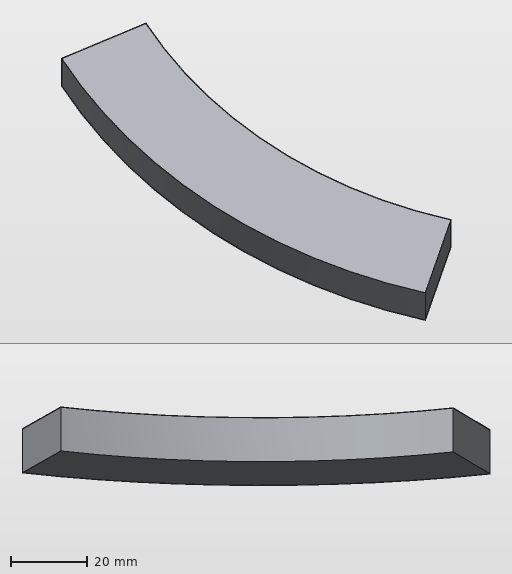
import cadquery as cq
import math

length_x = 109.6
thickness = 12.0
inner_radius = 130.0
start_angle = -83.8
end_angle = -37.1

inner_start_x = inner_radius * math.cos(math.radians(start_angle))
outer_radius = (inner_start_x + length_x) / math.cos(math.radians(end_angle))
middle_angle = (start_angle + end_angle) / 2


def point_on_circle(radius, angle):
    """Point at the given radius and angle in degrees around the Z axis."""
    turn = math.radians(angle)
    return (radius * math.cos(turn), radius * math.sin(turn))


result = (
    cq.Workplane("XY")
    .moveTo(*point_on_circle(inner_radius, start_angle))
    .lineTo(*point_on_circle(outer_radius, start_angle))
    .threePointArc(
        point_on_circle(outer_radius, middle_angle),
        point_on_circle(outer_radius, end_angle),
    )
    .lineTo(*point_on_circle(inner_radius, end_angle))
    .threePointArc(
        point_on_circle(inner_radius, middle_angle),
        point_on_circle(inner_radius, start_angle),
    )
    .close()
    .extrude(thickness)
)